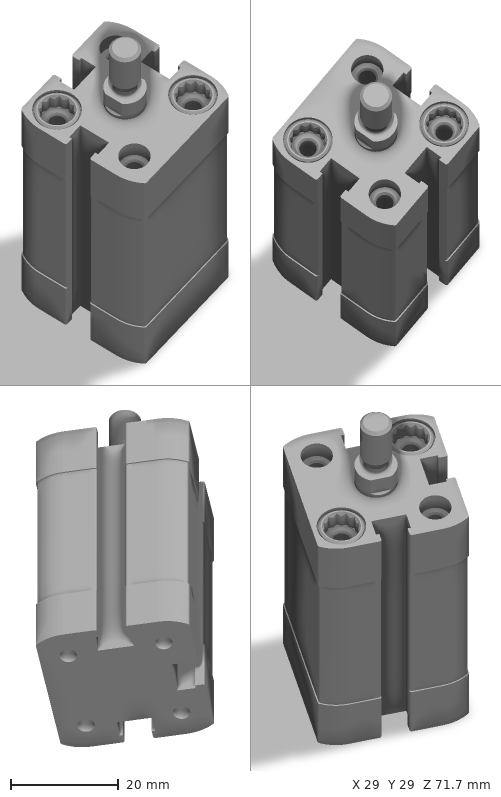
import cadquery as cq
import math

cap_width = 29.0
cap_height = 11.0
housing_height = 55.0
barrel_inset = 0.25
corner_offset = 9.0
corner_arc_y = 4.9
corner_round = 0.55
lip_round = 0.4

slot_mouth_width = 5.4
slot_inner_width = 6.7
slot_floor = cap_width / 2 - 5.2
slot_lip = cap_width / 2 - 1.8
slot_angles = (90, 180, 270)

through_diameter = 3.24
through_mouth_diameter = 4.0
through_chamfer = (through_mouth_diameter - through_diameter) / 2
counterbore_diameter = 6.0
counterbore_depth = 3.5
counterbored_holes = ((-corner_offset, corner_offset), (corner_offset, -corner_offset))
socket_holes = ((-corner_offset, -corner_offset), (corner_offset, corner_offset))

recess_diameter = 9.2
head_diameter = 8.5
head_gap_depth = 0.8
head_chamfer = 0.4
socket_points = 12
socket_tip_radius = 3.1
socket_valley_radius = 3.45
socket_lead_in_radius = 3.6
socket_lead_in_slope = math.tan(math.radians(60))
socket_depth = 3.4
socket_floor_radius = 3.0
socket_floor_drop = 0.1

rod_diameter = 8.0
collar_height = 4.7
flat_distance = 7.0
flat_start = 1.0
flat_runout = 0.3
neck_diameter = 4.5
neck_fillet = 0.4
neck_length = 1.3
thread_diameter = 6.0
stud_length = 12.0
thread_length = 8.8
thread_chamfer = 0.6


def housing_section(inset, height):
    """One prism of the housing, its outer faces moved inwards by the inset."""
    half = cap_width / 2 - inset
    radius = half - corner_arc_y
    arc_run = half - corner_offset
    corner_y = corner_arc_y + math.sqrt(radius**2 - arc_run**2)
    middle = math.radians(90) - math.asin(arc_run / radius) / 2
    middle_x = corner_offset + radius * math.cos(middle)
    middle_y = corner_arc_y + radius * math.sin(middle)
    prism = (
        cq.Workplane("XY")
        .moveTo(-corner_offset, half)
        .lineTo(corner_offset, half)
        .threePointArc((middle_x, middle_y), (half, corner_y))
        .lineTo(half, -corner_y)
        .threePointArc((middle_x, -middle_y), (corner_offset, -half))
        .lineTo(-corner_offset, -half)
        .threePointArc((-middle_x, -middle_y), (-half, -corner_y))
        .lineTo(-half, corner_y)
        .threePointArc((-middle_x, middle_y), (-corner_offset, half))
        .close()
        .extrude(height)
    )
    for angle in slot_angles:
        prism = prism.cut(slot_cutter(height).rotate((0, 0, 0), (0, 0, 1), angle))

    def is_corner(edge):
        x, y = abs(edge.Center().x), abs(edge.Center().y)
        return x > half - corner_round and y > corner_offset

    def is_lip(edge):
        x, y = abs(edge.Center().x), abs(edge.Center().y)
        return max(x, y) > half - lip_round / 2 and min(x, y) < slot_inner_width / 2

    prism = prism.edges("|Z").filter(is_corner).fillet(corner_round)
    return prism.edges("|Z").filter(is_lip).fillet(lip_round)


def slot_cutter(height):
    """A T-slot opening towards +X."""
    inner = cq.Workplane("XY").box(
        slot_lip - slot_floor, slot_inner_width, height, centered=(False, True, False)
    )
    mouth = cq.Workplane("XY").box(
        cap_width / 2 - slot_floor, slot_mouth_width, height, centered=(False, True, False)
    )
    return inner.union(mouth).translate((slot_floor, 0, 0))


def through_hole_cutter(floor_z):
    """A hole through the housing, chamfered where it meets a floor at the given height."""
    radius = through_diameter / 2
    return (
        cq.Workplane("XZ")
        .lineTo(radius, 0)
        .lineTo(radius, floor_z - through_chamfer)
        .lineTo(through_mouth_diameter / 2, floor_z)
        .lineTo(0, floor_z)
        .close()
        .revolve(360, (0, 0, 0), (0, 1, 0))
    )


def counterbored_hole_cutter():
    floor_z = housing_height - counterbore_depth
    bore = cq.Workplane("XY", origin=(0, 0, floor_z)).circle(counterbore_diameter / 2)
    return through_hole_cutter(floor_z).union(bore.extrude(counterbore_depth))


def head_gap_cutter():
    """The ring gap around a chamfered screw head."""
    recess_radius = recess_diameter / 2
    head_radius = head_diameter / 2
    gap_floor = housing_height - head_gap_depth
    return (
        cq.Workplane("XZ")
        .moveTo(recess_radius, housing_height)
        .lineTo(recess_radius, gap_floor)
        .lineTo(head_radius, gap_floor)
        .lineTo(head_radius, housing_height - head_chamfer)
        .lineTo(head_radius - head_chamfer, housing_height)
        .close()
        .revolve(360, (0, 0, 0), (0, 1, 0))
    )


def cone_cutter(top_z, top_radius, bottom_z, bottom_radius):
    return (
        cq.Workplane("XZ")
        .moveTo(0, top_z)
        .lineTo(top_radius, top_z)
        .lineTo(bottom_radius, bottom_z)
        .lineTo(0, bottom_z)
        .close()
        .revolve(360, (0, 0, 0), (0, 1, 0))
    )


def socket_hole_cutter():
    """Lead-in cone, twelve-point socket, cone at its bottom and the hole below it."""
    socket_bottom = housing_height - socket_depth
    floor_z = socket_bottom - socket_floor_drop
    lead_in_end = housing_height - socket_lead_in_slope * (socket_lead_in_radius - socket_tip_radius)
    star_top = housing_height - socket_lead_in_slope * (socket_lead_in_radius - socket_valley_radius)
    points = []
    for index in range(2 * socket_points):
        radius = socket_tip_radius if index % 2 else socket_valley_radius
        angle = math.pi * index / socket_points
        points.append((radius * math.cos(angle), radius * math.sin(angle)))
    star = (
        cq.Workplane("XY", origin=(0, 0, socket_bottom))
        .polyline(points)
        .close()
        .extrude(star_top - socket_bottom)
    )
    lead_in = cone_cutter(housing_height, socket_lead_in_radius, lead_in_end, socket_tip_radius)
    floor_cone = cone_cutter(socket_bottom, socket_tip_radius, floor_z, socket_floor_radius)
    return star.union(lead_in).union(floor_cone).union(through_hole_cutter(floor_z))


def make_housing():
    barrel_height = housing_height - 2 * cap_height
    bottom_cap = housing_section(0, cap_height)
    barrel = housing_section(barrel_inset, barrel_height).translate((0, 0, cap_height))
    top_cap = bottom_cap.translate((0, 0, housing_height - cap_height))
    body = bottom_cap.union(barrel).union(top_cap)
    for x, y in counterbored_holes:
        body = body.cut(counterbored_hole_cutter().translate((x, y, 0)))
    for x, y in socket_holes:
        body = body.cut(head_gap_cutter().translate((x, y, 0)))
        body = body.cut(socket_hole_cutter().translate((x, y, 0)))
    return body


def make_rod():
    """Collar, neck and threaded stud, standing on the housing top."""
    rod_radius = rod_diameter / 2
    neck_radius = neck_diameter / 2
    thread_radius = thread_diameter / 2
    rod_end = collar_height + stud_length
    blend = neck_fillet * (1 - math.sqrt(0.5))
    rod = (
        cq.Workplane("XZ")
        .lineTo(rod_radius, 0)
        .lineTo(rod_radius, collar_height)
        .lineTo(neck_radius + neck_fillet, collar_height)
        .threePointArc(
            (neck_radius + blend, collar_height + blend),
            (neck_radius, collar_height + neck_fillet),
        )
        .lineTo(neck_radius, collar_height + neck_length)
        .lineTo(thread_radius, rod_end - thread_length)
        .lineTo(thread_radius, rod_end - thread_chamfer)
        .lineTo(thread_radius - thread_chamfer, rod_end)
        .lineTo(0, rod_end)
        .close()
        .revolve(360, (0, 0, 0), (0, 1, 0))
    )
    flat_y = flat_distance / 2
    flat_cutter = (
        cq.Workplane("YZ")
        .moveTo(flat_y, flat_start)
        .lineTo(rod_radius, flat_start - flat_runout)
        .lineTo(rod_radius, collar_height)
        .lineTo(flat_y, collar_height)
        .close()
        .extrude(rod_radius, both=True)
    )
    rod = rod.cut(flat_cutter).cut(flat_cutter.mirror("XZ"))
    return rod.translate((0, 0, housing_height))


housing = make_housing()
rod = make_rod()
result = cq.Compound.makeCompound([housing.val(), rod.val()])